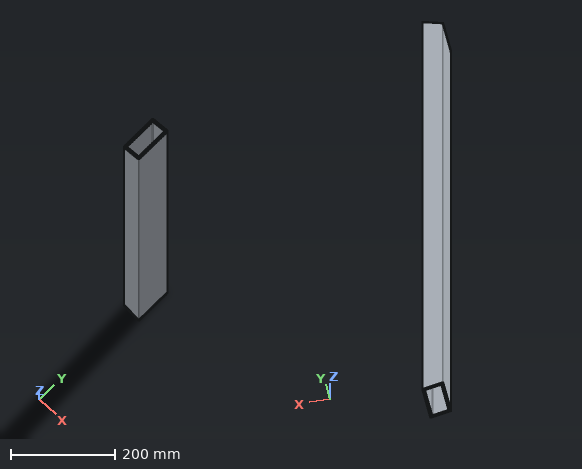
import cadquery as cq

length = 985.0
width = 40.0
depth = 80.0
wall = 4.0
mitre_drop = 11.0
outer_corner_radius = 1.0
inner_corner_radius = 2.0

half_width = width / 2
half_length = length / 2

tube = (
    cq.Workplane("XZ")
    .polyline([
        (half_width, -half_length),
        (half_width, half_length),
        (-half_width, half_length - mitre_drop),
        (-half_width, -half_length + mitre_drop),
    ])
    .close()
    .extrude(depth / 2, both=True)
    .edges("|Z")
    .fillet(outer_corner_radius)
)

bore = (
    cq.Workplane("XY")
    .rect(width - 2 * wall, depth - 2 * wall)
    .extrude(half_length, both=True)
    .edges("|Z")
    .fillet(inner_corner_radius)
)

result = tube.cut(bore)